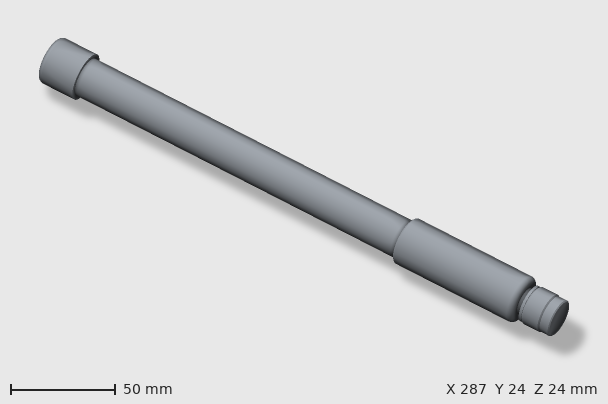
import cadquery as cq

total_length = 287.0
body_diameter = 24.0
rod_diameter = 19.8

cap_length = 20.0
sleeve_start = 200.3
sleeve_end = 267.5
end_round = 2.5
sleeve_chamfer = 1.0

neck_diameter = 13.8
collar_start = 270.0
collar_diameter = 19.0
nut_start = 271.5
nut_diameter = 19.8
nut_end = 281.8
nut_chamfer = 1.0
tip_diameter = 19.0
tip_chamfer = 0.5


def cylinder(start, end, diameter):
    """Solid cylinder along X between two stations."""
    return cq.Workplane("YZ", origin=(start, 0, 0)).circle(diameter / 2).extrude(end - start)


cap = cylinder(0, cap_length, body_diameter).faces("<X").edges().fillet(end_round)

rod = cylinder(cap_length, sleeve_start, rod_diameter)

sleeve = cylinder(sleeve_start, sleeve_end, body_diameter)
sleeve = sleeve.faces("<X").edges().chamfer(sleeve_chamfer)
sleeve = sleeve.faces(">X").edges().fillet(end_round)

neck = cylinder(sleeve_end, collar_start, neck_diameter)
collar = cylinder(collar_start, nut_start, collar_diameter)
nut = cylinder(nut_start, nut_end, nut_diameter).faces("<X or >X").edges().chamfer(nut_chamfer)
tip = cylinder(nut_end, total_length, tip_diameter).faces(">X").edges().chamfer(tip_chamfer)

result = cap
for section in (rod, sleeve, neck, collar, nut, tip):
    result = result.union(section)